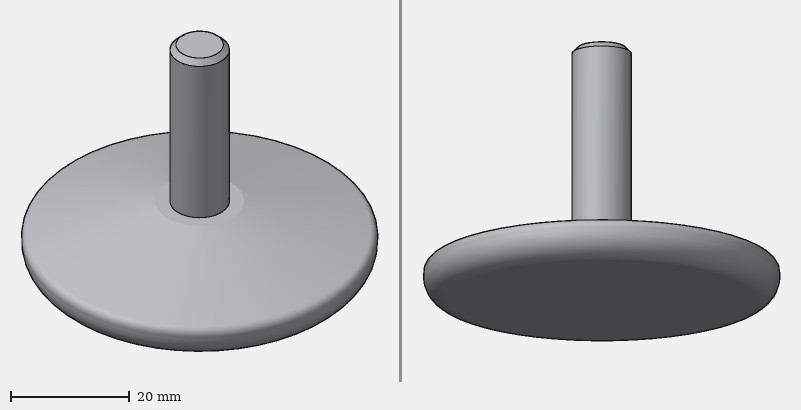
import cadquery as cq
import math

base_diameter = 60.0
base_height = 12.0
total_height = 44.0
stud_diameter = 10.0
stud_chamfer = 1.0
hub_diameter = 15.0
cone_angle = 15.0
bottom_radius = 4.0
rim_radius = 1.5

base_radius = base_diameter / 2
hub_radius = hub_diameter / 2
slope = math.radians(cone_angle)

rim_center_r = base_radius - rim_radius
rim_end_r = rim_center_r + rim_radius * math.sin(slope)
rim_end_z = base_height - (rim_end_r - hub_radius) * math.tan(slope)
rim_center_z = rim_end_z - rim_radius * math.cos(slope)


def point_on_arc(center_r, center_z, radius, angle):
    """Point of a profile arc at an angle in degrees above the horizontal."""
    turn = math.radians(angle)
    return center_r + radius * math.cos(turn), center_z + radius * math.sin(turn)


def make_base():
    """Conical foot plate, revolved from its half section in the XZ plane."""
    bottom_center_r = base_radius - bottom_radius
    bottom_middle = point_on_arc(bottom_center_r, bottom_radius, bottom_radius, -45)
    rim_middle = point_on_arc(rim_center_r, rim_center_z, rim_radius, (90 - cone_angle) / 2)
    profile = (
        cq.Workplane("XZ")
        .lineTo(bottom_center_r, 0)
        .threePointArc(bottom_middle, (base_radius, bottom_radius))
        .lineTo(base_radius, rim_center_z)
        .threePointArc(rim_middle, (rim_end_r, rim_end_z))
        .lineTo(hub_radius, base_height)
        .lineTo(0, base_height)
        .close()
    )
    return profile.revolve(360, (0, 0, 0), (0, 1, 0))


def make_stud():
    """Stud rising from the flat seat, with a chamfered tip."""
    return (
        cq.Workplane("XY", origin=(0, 0, base_height))
        .circle(stud_diameter / 2)
        .extrude(total_height - base_height)
        .faces(">Z")
        .chamfer(stud_chamfer)
    )


result = make_base().union(make_stud())